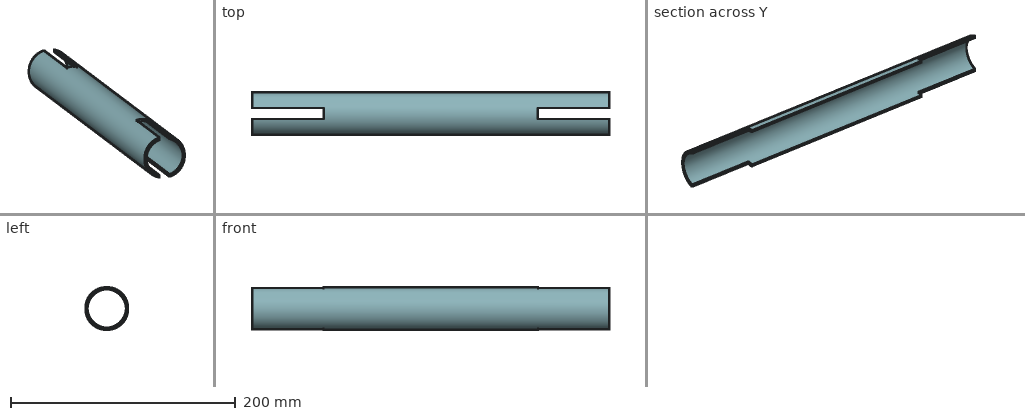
import cadquery as cq

length = 317.5
outer_diameter = 38.0
inner_diameter = 34.0

slot_length = 63.5
slot_width = 9.5


def make_tube():
    """Tube along X, centred on the origin."""
    return (
        cq.Workplane("YZ")
        .circle(outer_diameter / 2)
        .circle(inner_diameter / 2)
        .extrude(length / 2, both=True)
    )


def make_end_slot(side):
    """Cutter for the open-ended slot at the -X (side=-1) or +X (side=1) end."""
    centre_x = side * (length - slot_length) / 2
    return cq.Workplane("XY").box(slot_length, slot_width, outer_diameter).translate((centre_x, 0, 0))


result = make_tube()
for side in (-1, 1):
    result = result.cut(make_end_slot(side))